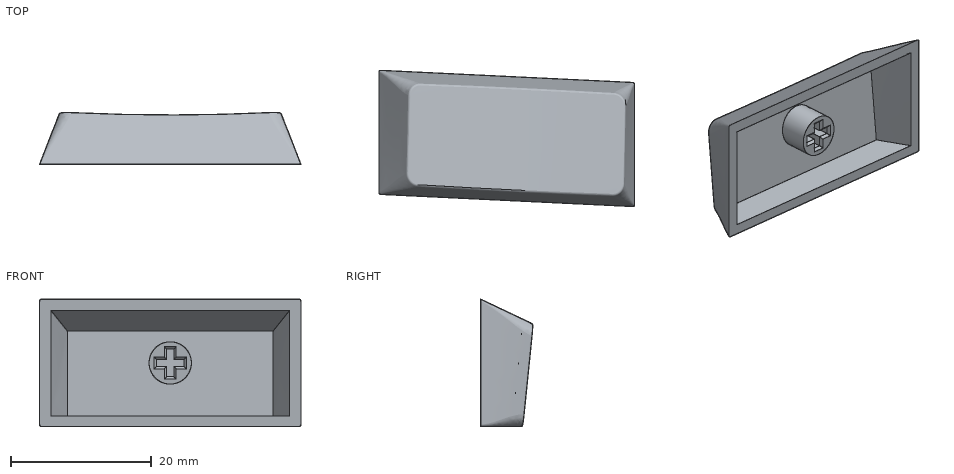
import cadquery as cq
import math

rim_length = 37.1
rim_height = 18.1
rim_corner_radius = 0.3

crown_length = 31.4
crown_upper_z = 5.5
crown_upper_depth = 7.48
crown_lower_depth = 6.0
crown_corner_radius = 1.75
dish_sag = 0.43
crown_edge_radius = 0.3

body_steps = 4

wall = 1.6
lower_wall = 1.5
floor_length = 29.15
floor_upper_z = 4.5
crown_thickness = 1.55

stem_diameter = 6.0
stem_inset = 1.1
cross_span = 3.9
cross_arm_width = 1.0
cross_chamfer = 0.35

rim_upper_z = rim_height / 2
rim_lower_z = -rim_height / 2
mouth_length = rim_length - 2 * wall
mouth_upper_z = rim_upper_z - wall
mouth_lower_z = rim_lower_z + lower_wall
mouth_height = mouth_upper_z - mouth_lower_z
mouth_middle_z = (mouth_upper_z + mouth_lower_z) / 2
crown_slope = (crown_upper_depth - crown_lower_depth) / (crown_upper_z - rim_lower_z)
tilt_cosine = math.cos(math.atan(crown_slope))


def blend(start, end, fraction):
    """Value the given fraction of the way from start to end."""
    return start + fraction * (end - start)


def crown_depth(z):
    """Y of the undished crown plane at height z."""
    return crown_upper_depth + crown_slope * (z - crown_upper_z)


def floor_depth(z):
    """Y of the cavity floor at height z."""
    return crown_depth(z) - crown_thickness


def section_plane(depth, z, slope=0.0):
    """Plane facing the rim side, centred at (0, depth, z); local y runs up the slope."""
    return cq.Plane(origin=(0, depth, z), xDir=(1, 0, 0), normal=(0, -1, slope))


def rectangle(plane, length, height, corner_radius=0.0):
    """Rectangular wire centred on the plane, with optional rounded corners."""
    wire = cq.Workplane(plane).rect(length, height).val()
    if corner_radius > 0:
        wire = wire.fillet2D(corner_radius, wire.Vertices())
    return wire


def make_body():
    """Loft from rim to crown whose corner radius grows along a smooth S-shaped law."""
    sections = []
    for step in range(body_steps + 1):
        fraction = step / body_steps
        upper_z = blend(rim_upper_z, crown_upper_z, fraction)
        upper_depth = fraction * crown_upper_depth
        lower_depth = fraction * crown_lower_depth
        rise = upper_z - rim_lower_z
        slope = (upper_depth - lower_depth) / rise
        plane = section_plane((upper_depth + lower_depth) / 2, (upper_z + rim_lower_z) / 2, slope)
        length = blend(rim_length, crown_length, fraction)
        growth = fraction ** 2 * (3 - 2 * fraction)
        radius = blend(rim_corner_radius, crown_corner_radius, growth)
        sections.append(rectangle(plane, length, math.hypot(rise, slope * rise), radius))
    return cq.Workplane(cq.Solid.makeLoft(sections))


def make_dish():
    """Shallow cylinder of removal, its axis parallel to the crown slope."""
    dish_radius = (crown_length ** 2 / 4 + dish_sag ** 2) / (2 * dish_sag)
    start_z = -rim_height
    start = (0, crown_depth(start_z), start_z)
    plane = cq.Plane(origin=start, xDir=(1, 0, 0), normal=(0, crown_slope, 1))
    profile = cq.Workplane(plane).center(0, dish_radius - dish_sag).circle(dish_radius)
    return profile.extrude(2 * rim_height)


def make_cavity():
    """Tapered hollow from the mouth to the tilted floor."""
    middle_z = (floor_upper_z + mouth_lower_z) / 2
    floor_plane = section_plane(floor_depth(middle_z), middle_z, crown_slope)
    floor_height = (floor_upper_z - mouth_lower_z) / tilt_cosine
    mouth_wire = rectangle(section_plane(0, mouth_middle_z), mouth_length, mouth_height)
    floor_wire = rectangle(floor_plane, floor_length, floor_height)
    return cq.Workplane(cq.Solid.makeLoft([mouth_wire, floor_wire], True))


def make_stem():
    """Round post with a chamfered cross socket, long enough to pass the cavity floor."""
    face_plane = section_plane(stem_inset, 0)
    reach = crown_upper_depth - stem_inset
    stem = cq.Workplane(face_plane).circle(stem_diameter / 2).extrude(-reach)
    for width, height in ((cross_span, cross_arm_width), (cross_arm_width, cross_span)):
        stem = stem.cut(cq.Workplane(face_plane).rect(width, height).extrude(-reach))
    return stem.faces("<Y").edges("not %CIRCLE").chamfer(cross_chamfer)


cavity = make_cavity()
shell = make_body().cut(make_dish())
shell = shell.faces("%CYLINDER").edges().fillet(crown_edge_radius)
result = shell.cut(cavity).union(make_stem().intersect(cavity))